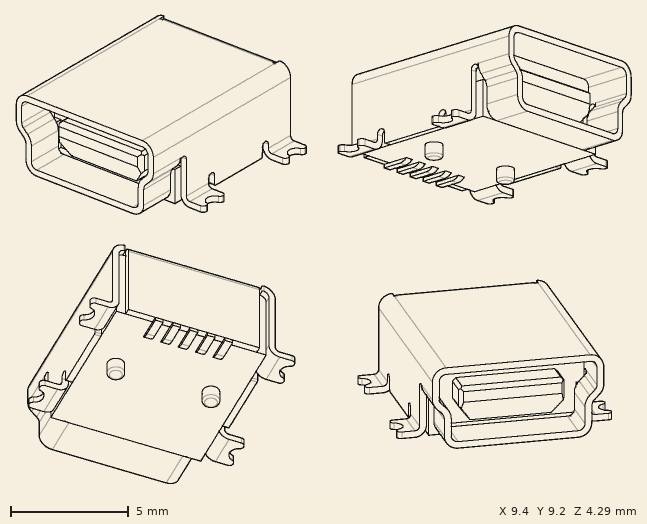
import cadquery as cq
import math


SPAN = 9.4
SHELL_WIDTH = 7.5
SHELL_HEIGHT = 3.69
LENGTH = 9.2
WALL = 0.3
BEND_RADIUS = 2 * WALL
SHELL_HALF = SHELL_WIDTH / 2
INNER_HALF = SHELL_HALF - WALL
INNER_TOP = SHELL_HEIGHT - WALL

MOUTH_LOWER_HALF = 3.22
SHOULDER_TOP = 2.05
SHOULDER_BOTTOM = SHOULDER_TOP - (SHELL_HALF - MOUTH_LOWER_HALF)
SHOULDER_LOWER_RADIUS = 0.4

SLOT_WIDTH = 0.4
TUBE_LENGTH = 1.805
FRONT_SLOT_TOP = 2.29
FOOT_SLOT_TOP = 0.705
WALL_CORNER_RADIUS = 0.075

FOOT_WIDTH = 1.49
FOOT_BOTTOM = -0.2
FOOT_TOP = FOOT_BOTTOM + WALL
FOOT_BEND_RADIUS = 0.2
FOOT_NOTCH_RADIUS = 0.4
FOOT_TIP_RADIUS = 0.18
FRONT_FOOT_START = TUBE_LENGTH + SLOT_WIDTH
REAR_FOOT_START = LENGTH - FOOT_WIDTH
FOOT_STARTS = (FRONT_FOOT_START, REAR_FOOT_START)

REAR_FLAP_HALF = 3.02
REAR_FLAP_BEND_RADIUS = 0.29
EAR_RADIUS = 0.075

HOUSING_REAR = LENGTH - WALL
WING_HEIGHT = 1.645
WING_INNER_HALF = 3.1

TONGUE_TIP = 0.89
TONGUE_HALF = 2.31
TONGUE_TOP = 2.35
TONGUE_SIDE_BOTTOM = 1.46
TONGUE_BOTTOM = 0.74
TONGUE_BOTTOM_HALF = 1.78
TONGUE_EDGE_CHAMFER = 0.15
TIP_SETBACK = 0.16
TIP_BEVEL_ANGLE = 60.0
TIP_FACE_BOTTOM = 1.71
UNDERSIDE_BEVEL_ANGLE = 22.0

PEG_RADIUS = 0.38
PEG_BOTTOM = -0.6
PEG_X = 2.19
PEG_Y = 5.88
PEG_EDGE_RADIUS = 0.1

LEAD_COUNT = 5
LEAD_PITCH = 0.8
LEAD_WIDTH = 0.36
LEAD_BOTTOM = -0.16
LEAD_BEND_RADIUS = 0.545
LEAD_FRONT = 7.9

MARGIN = 0.09


def box(x_range, y_range, z_range):
    """Box between pairs of coordinates."""
    sizes = [high - low for low, high in (x_range, y_range, z_range)]
    corner = (x_range[0], y_range[0], z_range[0])
    return cq.Workplane("XY").box(*sizes, centered=False).translate(corner)


def extrude_y(outline, start, end):
    """Extrude an outline of the XZ plane between two Y positions."""
    return outline.extrude(start - end).translate((0, start, 0))


def both_sides(solid):
    """A shape together with its mirror image across the YZ plane."""
    return solid.union(solid.mirror("YZ"))


def rounded_outline(corners):
    """Closed XZ outline through (x, z, radius) corners, each rounded by a tangent arc."""
    outline = cq.Workplane("XZ")
    count = len(corners)
    for index, (x, z, radius) in enumerate(corners):
        corner = cq.Vector(x, z)
        before = cq.Vector(*corners[index - 1][:2])
        after = cq.Vector(*corners[(index + 1) % count][:2])
        to_before = (before - corner).normalized()
        to_after = (after - corner).normalized()
        half_angle = to_before.getAngle(to_after) / 2
        tangent = radius / math.tan(half_angle)
        apex = radius / math.sin(half_angle) - radius
        arc_start = corner + to_before * tangent
        arc_middle = corner + (to_before + to_after).normalized() * apex
        arc_end = corner + to_after * tangent
        if index == 0:
            outline = outline.moveTo(arc_start.x, arc_start.y)
        else:
            outline = outline.lineTo(arc_start.x, arc_start.y)
        outline = outline.threePointArc((arc_middle.x, arc_middle.y), (arc_end.x, arc_end.y))
    return outline.close()


def mouth_outline():
    """Outer outline of the mouth: wide above, narrow below, joined by 45 degree shoulders."""
    right = [
        (MOUTH_LOWER_HALF, 0, BEND_RADIUS),
        (MOUTH_LOWER_HALF, SHOULDER_BOTTOM, SHOULDER_LOWER_RADIUS),
        (SHELL_HALF, SHOULDER_TOP, BEND_RADIUS),
        (SHELL_HALF, SHELL_HEIGHT, BEND_RADIUS),
    ]
    left = [(-x, z, radius) for x, z, radius in reversed(right)]
    return rounded_outline(right + left)


def arch(half_width, top, radius, start, end):
    """Solid with a flat underside at Z = 0 and rounded upper edges."""
    solid = box((-half_width, half_width), (start, end), (0, top))
    return solid.edges("|Y and >Z").fillet(radius)


def slot_cutter(start, top):
    """Round-topped slot through both side walls."""
    radius = SLOT_WIDTH / 2
    outline = (
        cq.Workplane("YZ")
        .moveTo(start, -MARGIN)
        .lineTo(start, top - radius)
        .threePointArc((start + radius, top), (start + SLOT_WIDTH, top - radius))
        .lineTo(start + SLOT_WIDTH, -MARGIN)
        .close()
    )
    return outline.extrude(SHELL_HALF + MARGIN, both=True)


def foot(start):
    """Right-hand solder foot bent outward from the wall, with a notched tip."""
    outer_bend = FOOT_BEND_RADIUS + WALL
    bend_x = SHELL_HALF + FOOT_BEND_RADIUS
    bend_z = FOOT_TOP + FOOT_BEND_RADIUS
    diagonal = math.sqrt(0.5)
    tip = SPAN / 2
    outline = (
        cq.Workplane("XZ")
        .moveTo(INNER_HALF, bend_z)
        .threePointArc(
            (bend_x - outer_bend * diagonal, bend_z - outer_bend * diagonal), (bend_x, FOOT_BOTTOM)
        )
        .lineTo(tip, FOOT_BOTTOM)
        .lineTo(tip, FOOT_TOP)
        .lineTo(bend_x, FOOT_TOP)
        .threePointArc(
            (bend_x - FOOT_BEND_RADIUS * diagonal, bend_z - FOOT_BEND_RADIUS * diagonal),
            (SHELL_HALF, bend_z),
        )
        .close()
    )
    strip = extrude_y(outline, start, start + FOOT_WIDTH)
    notch = (
        cq.Workplane("XY", origin=(tip, start + FOOT_WIDTH / 2, FOOT_BOTTOM))
        .circle(FOOT_NOTCH_RADIUS)
        .extrude(WALL)
    )
    prong_edges = cq.selectors.BoxSelector(
        (tip - MARGIN / 2, start - MARGIN, FOOT_BOTTOM - MARGIN),
        (tip + MARGIN / 2, start + FOOT_WIDTH + MARGIN, FOOT_TOP + MARGIN),
    )
    return strip.cut(notch).edges("|Z").edges(prong_edges).fillet(FOOT_TIP_RADIUS)


def make_tube():
    """Closed tube at the mouth."""
    outer = extrude_y(mouth_outline(), 0, TUBE_LENGTH)
    inner = extrude_y(mouth_outline().offset2D(-WALL), 0, TUBE_LENGTH)
    return outer.cut(inner)


def make_channel():
    """Channel behind the tube, open underneath, with its relief slots."""
    outer = arch(SHELL_HALF, SHELL_HEIGHT, BEND_RADIUS, TUBE_LENGTH, LENGTH)
    inner = arch(INNER_HALF, INNER_TOP, BEND_RADIUS - WALL, TUBE_LENGTH, LENGTH)
    channel = outer.cut(inner)
    channel = channel.cut(slot_cutter(TUBE_LENGTH, FRONT_SLOT_TOP))
    channel = channel.cut(slot_cutter(FRONT_FOOT_START + FOOT_WIDTH, FOOT_SLOT_TOP))
    channel = channel.cut(slot_cutter(REAR_FOOT_START - SLOT_WIDTH, FOOT_SLOT_TOP))
    middle_corners = cq.selectors.BoxSelector(
        (-SPAN, FRONT_FOOT_START + FOOT_WIDTH + MARGIN, -MARGIN),
        (SPAN, REAR_FOOT_START - MARGIN, MARGIN),
    )
    channel = channel.edges("|X").edges(middle_corners).fillet(WALL_CORNER_RADIUS)
    for start in FOOT_STARTS:
        below_bend = (0, FOOT_TOP + FOOT_BEND_RADIUS)
        foot_span = (start, start + FOOT_WIDTH)
        channel = channel.cut(box((-SPAN, SPAN), foot_span, below_bend))
    return channel


def make_flap():
    """Rear flap folded down from the top, narrower than the gap between the ears."""
    flap = box((-REAR_FLAP_HALF, REAR_FLAP_HALF), (HOUSING_REAR, LENGTH), (0, SHELL_HEIGHT))
    return flap.edges("|X and >Y and >Z").fillet(REAR_FLAP_BEND_RADIUS)


def make_shell():
    gap_half = SHELL_HALF - BEND_RADIUS
    gap = box((-gap_half, gap_half), (HOUSING_REAR, LENGTH), (INNER_TOP - MARGIN, SHELL_HEIGHT))
    channel = make_channel().cut(gap)
    ear_corners = cq.selectors.BoxSelector(
        (-gap_half - MARGIN, LENGTH - MARGIN, INNER_TOP - MARGIN),
        (gap_half + MARGIN, LENGTH + MARGIN, SHELL_HEIGHT + MARGIN),
    )
    channel = channel.edges("|Z").edges(ear_corners).fillet(EAR_RADIUS)
    shell = channel.union(make_tube()).union(make_flap())
    for start in FOOT_STARTS:
        shell = shell.union(both_sides(foot(start)))
    return shell


def make_tongue():
    """Contact tongue with a bevelled tip, reaching forward from the housing block."""
    right = [
        (TONGUE_BOTTOM_HALF, TONGUE_BOTTOM),
        (TONGUE_HALF, TONGUE_SIDE_BOTTOM),
        (TONGUE_HALF, TONGUE_TOP - TONGUE_EDGE_CHAMFER),
        (TONGUE_HALF - TONGUE_EDGE_CHAMFER, TONGUE_TOP),
    ]
    left = [(-x, z) for x, z in reversed(right)]
    outline = cq.Workplane("XZ").polyline(right + left).close()
    tongue = extrude_y(outline, TONGUE_TIP, FRONT_FOOT_START)

    bevel_length = TIP_SETBACK * math.tan(math.radians(TIP_BEVEL_ANGLE))
    underside_drop = TIP_FACE_BOTTOM - TONGUE_BOTTOM
    underside_length = underside_drop * math.tan(math.radians(UNDERSIDE_BEVEL_ANGLE))
    side_profile = [
        (TONGUE_TIP, TIP_FACE_BOTTOM),
        (TONGUE_TIP, TONGUE_TOP - TIP_SETBACK),
        (TONGUE_TIP + bevel_length, TONGUE_TOP),
        (FRONT_FOOT_START, TONGUE_TOP),
        (FRONT_FOOT_START, TONGUE_BOTTOM),
        (TONGUE_TIP + underside_length, TONGUE_BOTTOM),
    ]
    side_limit = cq.Workplane("YZ").polyline(side_profile).close().extrude(TONGUE_HALF, both=True)
    plan_right = [
        (TONGUE_HALF - TIP_SETBACK, TONGUE_TIP),
        (TONGUE_HALF, TONGUE_TIP + bevel_length),
        (TONGUE_HALF, FRONT_FOOT_START),
    ]
    plan_left = [(-x, y) for x, y in reversed(plan_right)]
    plan_limit = cq.Workplane("XY").polyline(plan_right + plan_left).close().extrude(SHELL_HEIGHT)
    return tongue.intersect(side_limit).intersect(plan_limit)


def make_peg():
    """Right-hand locating peg under the housing."""
    base = cq.Workplane("XY", origin=(PEG_X, PEG_Y, PEG_BOTTOM))
    peg = base.circle(PEG_RADIUS).extrude(-PEG_BOTTOM)
    return peg.faces("<Z").edges().fillet(PEG_EDGE_RADIUS)


def make_lead(x):
    """Solder tail under the rear of the housing, its front curving up into the block."""
    centre_z = LEAD_BOTTOM + LEAD_BEND_RADIUS
    entry_angle = math.asin(centre_z / LEAD_BEND_RADIUS)
    bend_y = LEAD_FRONT + LEAD_BEND_RADIUS * math.cos(entry_angle)
    middle_angle = (entry_angle + math.pi / 2) / 2
    arc_middle = (
        bend_y - LEAD_BEND_RADIUS * math.cos(middle_angle),
        centre_z - LEAD_BEND_RADIUS * math.sin(middle_angle),
    )
    outline = (
        cq.Workplane("YZ", origin=(x, 0, 0))
        .moveTo(LEAD_FRONT, 0)
        .threePointArc(arc_middle, (bend_y, LEAD_BOTTOM))
        .lineTo(LENGTH, LEAD_BOTTOM)
        .lineTo(LENGTH, 0)
        .close()
    )
    return outline.extrude(LEAD_WIDTH / 2, both=True)


def make_housing():
    housing = arch(INNER_HALF, INNER_TOP, BEND_RADIUS - WALL, FRONT_FOOT_START, HOUSING_REAR)
    front_span = (TUBE_LENGTH, FRONT_FOOT_START)
    front_floor = box((-INNER_HALF, INNER_HALF), front_span, (0, WALL))
    housing = housing.union(front_floor)
    wing = box((WING_INNER_HALF, INNER_HALF), front_span, (0, WING_HEIGHT))
    housing = housing.union(both_sides(wing))
    housing = housing.union(make_tongue())
    housing = housing.union(both_sides(make_peg()))
    for index in range(LEAD_COUNT):
        lead_x = (index - (LEAD_COUNT - 1) / 2) * LEAD_PITCH
        housing = housing.union(make_lead(lead_x))
    return housing


shell = make_shell()
housing = make_housing()
result = cq.Compound.makeCompound([shell.val(), housing.val()])